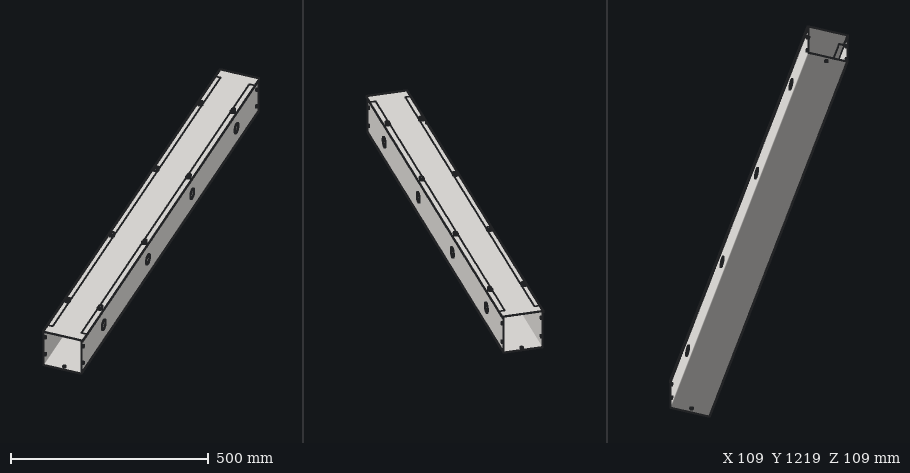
import cadquery as cq

length = 1219.0
overall_width = 109.0
overall_height = 109.0
sheet = 1.8
bend_inside_radius = 0.4
skirt_height = 5.0

screw_spacing = 305.0
screw_rows = 4
screw_offset = 44.0
head_diameter = 9.5
head_height = 2.9
head_rounding = 1.8
shank_diameter = 5.0
shank_below_flange = 4.0

keyhole_diameter = 12.0
keyhole_shift = 6.0

flange_width = 13.0
flange_setback = 32.0
end_hole_diameter = 7.0
end_hole_inset = 13.0
end_hole_spacing = 52.0
knockout_outer_diameter = 28.0
knockout_inner_diameter = 22.0
knockout_height = 51.0
knockout_depth = sheet / 2

bend_outside_radius = bend_inside_radius + sheet
cover_top = overall_height - head_height
trough_width = overall_width - 2 * sheet
trough_height = cover_top - sheet
flange_bottom = trough_height - sheet
end_hole_height = trough_height / 2
sides = (-1, 1)
screw_ys = [(row - (screw_rows - 1) / 2) * screw_spacing for row in range(screw_rows)]
screw_points = [(side * screw_offset, y) for side in sides for y in screw_ys]
end_hole_ys = [side * (length / 2 - end_hole_inset) for side in sides]


def block(width, depth, height, bottom):
    """Box centred on X and Y, standing on the height `bottom`."""
    base = cq.Workplane("XY").workplane(offset=bottom)
    return base.rect(width, depth).extrude(height)


def upright_cylinders(points, diameter, bottom, height):
    """Cylinders along Z at the (x, y) points."""
    plane = cq.Workplane("XY").workplane(offset=bottom)
    return plane.pushPoints(points).circle(diameter / 2).extrude(height)


def crosswise_cylinders(points, diameter, start, distance):
    """Cylinders along X at the (y, z) points, starting from x = start."""
    plane = cq.Workplane("YZ").workplane(offset=start)
    return plane.pushPoints(points).circle(diameter / 2).extrude(distance)


def trough_section():
    """Bent channel with a flange along the top of each wall, over the full length."""
    outside = block(trough_width, length, trough_height, 0)
    outside = outside.edges("|Y").fillet(bend_outside_radius)
    inside = block(trough_width - 2 * sheet, length, trough_height - 2 * sheet, sheet)
    inside = inside.edges("|Y").fillet(bend_inside_radius)
    mouth = block(trough_width - 2 * flange_width, length, sheet, flange_bottom)
    return outside.cut(inside).cut(mouth)


def flange_relief(side):
    """Volume that takes the flanges and their bends away at one end of the trough."""
    relief_bottom = trough_height - bend_outside_radius
    relief = block(trough_width, flange_setback, bend_outside_radius, relief_bottom)
    return relief.translate((0, side * (length - flange_setback) / 2, 0))


def end_holes():
    """Holes near both ends: two through each wall and one in the floor."""
    hole_zs = [end_hole_height + side * end_hole_spacing / 2 for side in sides]
    wall_points = [(y, z) for y in end_hole_ys for z in hole_zs]
    floor_points = [(0, y) for y in end_hole_ys]
    wall_holes = crosswise_cylinders(wall_points, end_hole_diameter, -trough_width / 2, trough_width)
    floor_holes = upright_cylinders(floor_points, end_hole_diameter, 0, sheet)
    return wall_holes, floor_holes


def knockout_grooves(side):
    """Shallow rings that outline the knockouts in the outer face of one wall."""
    points = [(y, knockout_height) for y in screw_ys]
    face = side * trough_width / 2
    inward = -side * knockout_depth
    outer = crosswise_cylinders(points, knockout_outer_diameter, face, inward)
    inner = crosswise_cylinders(points, knockout_inner_diameter, face, inward)
    return outer.cut(inner)


def make_trough():
    """Channel whose inward flanges carry the cover."""
    trough = trough_section()
    for side in sides:
        trough = trough.cut(flange_relief(side))
        trough = trough.cut(knockout_grooves(side))
    for holes in end_holes():
        trough = trough.cut(holes)
    return trough.cut(upright_cylinders(screw_points, shank_diameter, flange_bottom, sheet))


def cut_keyholes(cover):
    """Cut a keyhole at every screw, with its wide end toward -Y."""
    wide_points = [(x, y - keyhole_shift) for x, y in screw_points]
    neck_points = [(x, y - keyhole_shift / 2) for x, y in screw_points]
    plane = cq.Workplane("XY").workplane(offset=trough_height)
    necks = plane.pushPoints(neck_points).rect(shank_diameter, keyhole_shift).extrude(sheet)
    cover = cover.cut(upright_cylinders(screw_points, shank_diameter, trough_height, sheet))
    cover = cover.cut(necks)
    return cover.cut(upright_cylinders(wide_points, keyhole_diameter, trough_height, sheet))


def make_cover():
    """Shallow lid whose skirts overlap the trough walls."""
    skirt_bottom = cover_top - skirt_height
    outside = block(overall_width, length, skirt_height, skirt_bottom)
    outside = outside.edges("|Y and >Z").fillet(bend_outside_radius)
    inside = block(trough_width, length, skirt_height - sheet, skirt_bottom)
    inside = inside.edges("|Y and >Z").fillet(bend_inside_radius)
    return cut_keyholes(outside.cut(inside))


def make_screw(x, y):
    """Round-headed screw: head on the cover, shank through cover and flange."""
    shank_length = 2 * sheet + shank_below_flange
    head = cq.Workplane("XY").circle(head_diameter / 2).extrude(head_height)
    head = head.faces(">Z").edges().fillet(head_rounding)
    shank = cq.Workplane("XY").circle(shank_diameter / 2).extrude(-shank_length)
    return head.union(shank).translate((x, y, cover_top))


trough = make_trough().solids()
cover = make_cover().solids()
screws = [make_screw(x, y).solids() for x, y in screw_points]

result = cq.Compound.makeCompound([trough.val(), cover.val(), *[screw.val() for screw in screws]])